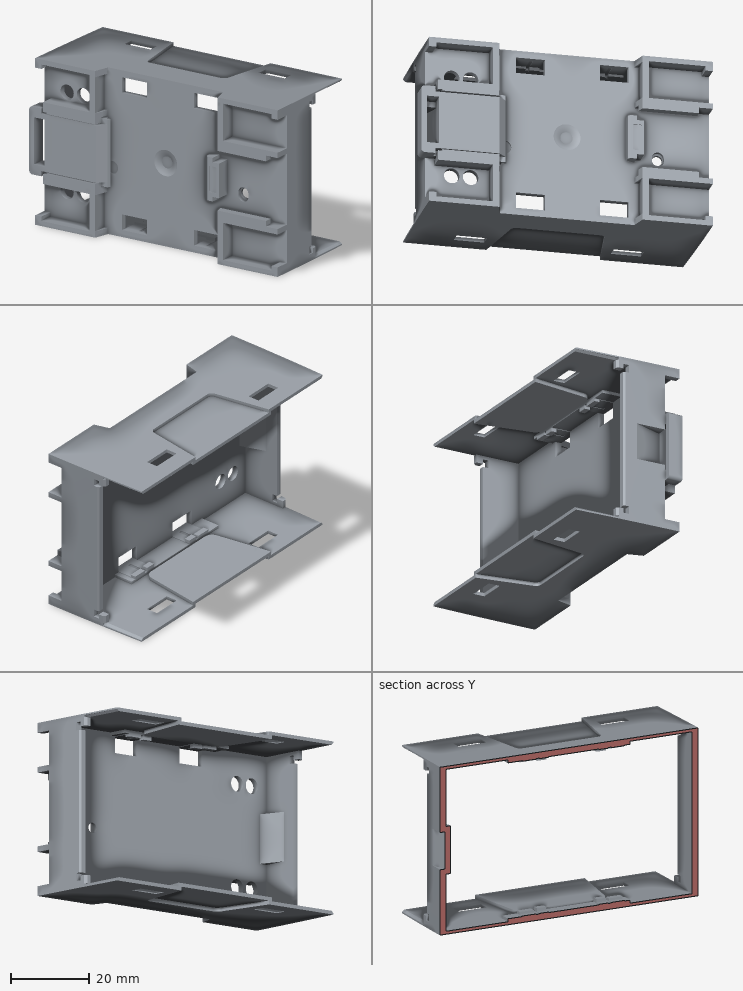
import cadquery as cq
import math


half_length = 37.4
width = 45.1
half_width = width / 2
depth = 30.3
end_inset = 0.5
end_radius = (depth**2 + end_inset**2) / (2 * end_inset)
end_wall_top = 16.45
end_wall = 1.9
side_wall = 0.9
base_plate = 1.7

side_bevel = (0.5, 0.6)
ear_bevel = (0.6, 0.6)
wall_bevel = (0.5, 0.4)

rail_floor = 4.3
channel_half = 18.9
channel_slope = 1.15
channel_floor_half = channel_half - channel_slope

pad_side_wall = 1.4
side_tab = 1.7
cross_wall = 1.7
post_length = 1.9
post_z = 20.0
rib_z = (9.6, 11.1)
lip_z = 8.1
lip_depth = 2.15
left_rib_x = -35.05
left_lip_x = -34.0
left_lip_end_z = 8.45
right_lip_x = 33.8

notch_bottom = 14.8
notch_z = (18.6, 20.7)
ear_z = 19.45
ear_top = 18.4

panel_half_front = 12.15
panel_half_back = 15.0
panel_y = 13.4
panel_sink = 1.0
panel_wall = 0.9
panel_inner_z = 20.6
panel_radius = 1.5

side_window_centers = (-20.75, 20.7)
side_window_length = 8.0
side_window_y = (22.2, 25.4)
base_windows = ((-13.5, -5.85), (8.7, 16.2))
base_window_z = (16.45, 20.7)
round_hole_x = (-30.4, -25.4)
round_hole_z = 13.45
round_hole_diameter = 4.1

snap_gap = 0.9
snap_short = 2.7
snap_short_z = 19.75
snap_long_z = 20.05
snap_rise = 0.15
snap_y = (10.0, 11.5)

latch_left = -39.4
latch_front = 0.2
latch_width = 18.4
latch_half = latch_width / 2
latch_tongue_half = 7.8
latch_neck_x = -35.7
latch_tip_x = -16.3
latch_tip_y = 3.15
latch_slope_start = (-18.75, latch_front)
latch_slope_end = (-16.7, 2.3)
latch_undercut_x = -17.5
latch_corner = 0.9
grip_x = (-38.0, -34.7)
grip_half = 6.4

ramp_half = 4.9
ramp_top = 12.8
ramp_run = 3.2
ramp_cover = 1.5

hook_half = 5.9
hook_block_half = 4.7
hook_tip_x = 15.15
hook_chamfer = 0.6
hook_back_x = 17.4
hook_block_end_x = 19.3
hook_nose_y = 1.9
hook_root_y = 3.1
hook_pocket_x = (16.4, 18.6)
hook_pocket_half = 3.5
hook_pocket_depth = 0.2
hook_pocket_radius = 0.4

dimple_outer_radius = 3.5
dimple_inner_radius = 1.6
dimple_depth = 0.7

screw_x = 24.0
screw_z = -4.0
screw_diameter = 2.7
screw_slot_width = 3.1
screw_slot_length = 3.9
screw_slot_depth = 0.9
recess_x = -16.45
recess_z = -4.2
recess_diameter = 3.45
recess_depth = 0.4


def box(x_range, y_range, z_range):
    """Axis-aligned block between the given limits."""
    size = [high - low for low, high in (x_range, y_range, z_range)]
    corner = (x_range[0], y_range[0], z_range[0])
    return cq.Workplane("XY").box(*size, centered=False).translate(corner)


def prism(points, z_low, z_high):
    """XY outline extruded along Z."""
    return cq.Workplane("XY").workplane(offset=z_low).polyline(points).close().extrude(z_high - z_low)


def both_sides(shape):
    """Shape together with its mirror image about z = 0."""
    return shape.union(shape.mirror("XY"))


def both_ends(shape):
    """Shape together with its mirror image about x = 0."""
    return shape.union(shape.mirror("YZ"))


def floor_plane(x, z):
    """Work plane on the channel floor; positive extrusion goes out towards the rail."""
    return cq.Workplane("XZ", origin=(x, rail_floor, z))


def end_inset_at(y):
    """How far the curved end lies inside its front edge; the curve starts out parallel to Y."""
    return end_radius - math.sqrt(end_radius**2 - y**2)


def envelope():
    """Right half of the outer block, its end curving gently inwards towards the back."""
    return (
        cq.Workplane("XY")
        .workplane(offset=-half_width)
        .lineTo(half_length, 0)
        .threePointArc((half_length - end_inset_at(depth / 2), depth / 2), (half_length - end_inset, depth))
        .lineTo(0, depth)
        .close()
        .extrude(2 * half_width)
    )


def housing():
    """Box open at the back, its end walls lower than its side walls."""
    inner_x = half_length - end_wall
    inner_z = half_width - side_wall
    full_x = (0, half_length)
    half = envelope().cut(box(full_x, (0, rail_floor), (-half_width, half_width)))
    half = half.cut(box((0, inner_x), (rail_floor + base_plate, depth), (-inner_z, inner_z)))
    half = half.cut(box(full_x, (end_wall_top, depth), (-ear_z, ear_z)))
    half = half.cut(box(full_x, (ear_top, depth), (-inner_z, inner_z)))
    half = half.cut(both_sides(box(full_x, (notch_bottom, end_wall_top), notch_z)))
    return both_ends(half.cut(end_bevels()))


def end_bevels():
    """Bevels on the back edge of the right end wall and its ears, and on the side wall ends."""
    inner_z = half_width - side_wall
    side_height, side_run = side_bevel
    tip_x = half_length - end_inset

    def back_bevel(top, size, z_low, z_high):
        height, run = size
        end_x = half_length - end_inset_at(top)
        outline = [(end_x - run, top), (half_length, top), (half_length, top - height), (end_x, top - height)]
        return prism(outline, z_low, z_high)

    side = (
        cq.Workplane("XZ", origin=(0, depth, 0))
        .polyline([
            (tip_x - side_run, inner_z),
            (half_length, inner_z),
            (half_length, inner_z + side_height),
            (tip_x, inner_z + side_height),
        ])
        .close()
        .extrude(depth - ear_top + ear_bevel[0])
    )
    ears = back_bevel(ear_top, ear_bevel, ear_z, inner_z)
    wall = back_bevel(end_wall_top, wall_bevel, -notch_z[0], notch_z[0])
    return both_sides(side.union(ears)).union(wall)


def pads():
    """Walls in front of the base plate that frame the corner pockets and guide the latch."""
    front = (0, rail_floor)
    wall_end_x = channel_half + cross_wall
    side_z = (half_width - pad_side_wall, half_width)
    post_x = half_length - post_length
    lip_range = (0, lip_depth)

    def sloped_end(x_end, z_low, z_high):
        """Right-hand wall whose end leans into the channel."""
        outline = [(channel_half, 0), (x_end, 0), (x_end, rail_floor), (channel_floor_half, rail_floor)]
        return prism(outline, z_low, z_high)

    frame = sloped_end(half_length, *side_z)
    frame = frame.union(sloped_end(wall_end_x, half_width - side_tab, half_width))
    frame = frame.union(sloped_end(wall_end_x, *rib_z))
    frame = frame.union(box((channel_half, wall_end_x), front, (rib_z[0], half_width)))
    frame = frame.union(box((post_x, half_length), front, (post_z, half_width)))
    lip_root = sloped_end(wall_end_x, lip_z, rib_z[0]).intersect(
        box((0, half_length), lip_range, (lip_z, rib_z[0]))
    )
    frame = both_ends(frame.union(lip_root))

    right_rib = box((wall_end_x, half_length), front, rib_z)
    right_lip = box((wall_end_x, right_lip_x), lip_range, (lip_z, rib_z[0]))
    left_rib = box((left_rib_x, -wall_end_x), front, rib_z)
    left_lip = box((left_lip_x, -wall_end_x), lip_range, (lip_z, rib_z[0]))
    left_lip_end = box((left_rib_x, left_lip_x), lip_range, (left_lip_end_z, rib_z[0]))
    for piece in (right_rib, right_lip, left_rib, left_lip, left_lip_end):
        frame = frame.union(piece)
    return both_sides(frame).intersect(both_ends(envelope()))


def grip_panel(margin, z_low, z_high):
    """Tapered grip panel widened by a margin, rounded at its two front corners."""
    half_front = panel_half_front + margin
    half_back = panel_half_back + margin
    front_y = panel_y - margin
    outline = [(-half_front, front_y), (half_front, front_y), (half_back, depth), (-half_back, depth)]
    return prism(outline, z_low, z_high).edges("|Z and <Y").fillet(panel_radius + margin)


def snap_feet():
    """Pairs of feet on the side walls behind the base windows, each ending in a taller bar."""
    foot_y = (rail_floor, snap_y[1])
    foot_z = (base_window_z[1], half_width)
    (left_start, left_end), (right_start, right_end) = base_windows
    left_split = left_end - snap_short
    right_split = right_start + snap_short
    short_feet = ((left_split, left_end), (right_start, right_split))
    long_feet = ((left_start, left_split - snap_gap), (right_split + snap_gap, right_end))
    wall_x = (-channel_floor_half, channel_floor_half)
    feet = box(wall_x, foot_y, (base_window_z[1] + snap_rise, half_width))
    for foot_x_ranges, bar_z in ((short_feet, snap_short_z), (long_feet, snap_long_z)):
        for foot_x in foot_x_ranges:
            feet = feet.union(box(foot_x, foot_y, foot_z))
            feet = feet.union(box(foot_x, snap_y, (bar_z, half_width)))
    return both_sides(feet)


def openings():
    """Side windows, base windows and round holes."""
    plate_y = (rail_floor, rail_floor + base_plate)
    cuts = floor_plane(0, 0)
    cuts = cuts.pushPoints([(x, round_hole_z) for x in round_hole_x])
    cuts = cuts.circle(round_hole_diameter / 2).extrude(-base_plate)
    for window_x in base_windows:
        cuts = cuts.union(box(window_x, plate_y, base_window_z))
    for center in side_window_centers:
        window_x = (center - side_window_length / 2, center + side_window_length / 2)
        cuts = cuts.union(box(window_x, side_window_y, (panel_inner_z, half_width)))
    return both_sides(cuts)


def latch():
    """Sliding latch with a sloped nose, narrow between the guide lips and wide behind them."""
    outline = [
        (latch_left, latch_front),
        latch_slope_start,
        latch_slope_end,
        (latch_tip_x, latch_tip_y),
        (latch_undercut_x, latch_tip_y),
        (latch_undercut_x, rail_floor),
        (latch_left, rail_floor),
    ]
    body = prism(outline, -latch_half, latch_half)
    body = body.edges("|Y and <X").fillet(latch_corner)
    shoulder_z = (latch_tongue_half, latch_half)
    shoulder = box((latch_neck_x, latch_tip_x), (latch_front, latch_slope_end[1]), shoulder_z)
    grip_window = box(grip_x, (latch_front, rail_floor), (-grip_half, grip_half))
    return body.cut(both_sides(shoulder)).cut(grip_window)


def ramp_cut():
    """Wedge cut into the left end wall, deepest at the channel floor."""
    outline = [
        (-half_length, rail_floor),
        (-half_length + ramp_run, rail_floor),
        (-half_length, ramp_top),
    ]
    return prism(outline, -ramp_half, ramp_half)


def ramp_housing():
    """Sloped shell that closes the ramp off from the inside of the housing."""
    wall_x = end_wall - half_length
    outline = [
        (wall_x, rail_floor),
        (-half_length + ramp_run + ramp_cover, rail_floor),
        (wall_x, ramp_top),
    ]
    half_height = ramp_half + ramp_cover
    return prism(outline, -half_height, half_height)


def hook():
    """Fixed rail hook: a block with a wider nose that reaches over the rail edge."""
    nose = prism(
        [
            (hook_tip_x + hook_chamfer, 0),
            (hook_back_x, 0),
            (hook_back_x, hook_root_y),
            (hook_tip_x, hook_nose_y),
            (hook_tip_x, hook_chamfer),
        ],
        -hook_half,
        hook_half,
    )
    block = box((hook_back_x, hook_block_end_x), (0, rail_floor), (-hook_block_half, hook_block_half))
    pocket = box(hook_pocket_x, (0, hook_pocket_depth), (-hook_pocket_half, hook_pocket_half))
    return nose.union(block).cut(pocket.edges("|Y").fillet(hook_pocket_radius))


def dimple():
    """Conical depression in the channel floor."""
    return cq.Workplane("XY").add(
        cq.Solid.makeCone(
            dimple_outer_radius,
            dimple_inner_radius,
            dimple_depth,
            pnt=cq.Vector(0, rail_floor, 0),
            dir=cq.Vector(0, 1, 0),
        )
    )


def screw_hole():
    """Round hole through the base plate at the bottom of a shallow upright slot."""
    hole = floor_plane(screw_x, screw_z).circle(screw_diameter / 2).extrude(-base_plate)
    slot = floor_plane(screw_x, screw_z).slot2D(screw_slot_length, screw_slot_width, 90)
    return hole.union(slot.extrude(-screw_slot_depth))


grip_backing = both_sides(grip_panel(panel_wall, panel_inner_z, half_width))
grip_recess = both_sides(grip_panel(0, half_width - panel_sink, half_width))

result = housing().union(grip_backing).union(snap_feet()).cut(grip_recess)
result = result.union(pads()).cut(openings())
result = result.union(ramp_housing()).cut(ramp_cut())
result = result.cut(dimple()).cut(screw_hole())
result = result.cut(floor_plane(recess_x, recess_z).circle(recess_diameter / 2).extrude(-recess_depth))
result = result.union(latch()).union(hook())